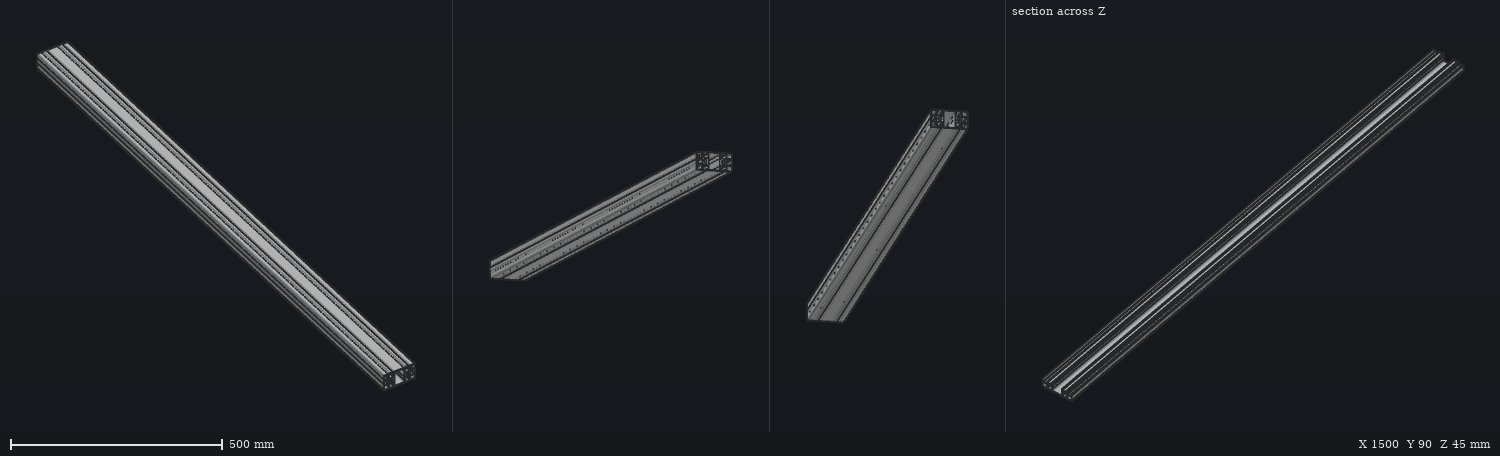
import cadquery as cq

LENGTH = 1500.0
MODULE = 45.0
WIDTH = 2 * MODULE
HEIGHT = MODULE
CORNER_RADIUS = 2.5

WALL = 2.0
RIB = 2.0

SLOT_SKIN = 0.3
SLOT_MOUTH_WIDTH = 9.0
SLOT_INNER_WIDTH = 14.0
SLOT_FLOOR_WIDTH = 10.0
SLOT_DEPTH = 15.0
SLOT_TAPER_HEIGHT = 2.0
SLOT_ROOF_RADIUS = 2.0
LIP_THICKNESS = 5.0

CHAMBER_RADIUS = 1.0
HOLLOW_RADIUS = 1.0
BORE_DIAMETER = 8.0

HALF_MODULE = MODULE / 2
HOLLOW_NEAR = SLOT_INNER_WIDTH / 2 + RIB
HOLLOW_FAR = HALF_MODULE - WALL


def section(y=0.0, z=0.0):
    """Section plane across the extrusion, with its origin at (y, z)."""
    return cq.Workplane("YZ").center(y, z)


def prism(outline):
    """Extrude a closed section outline over the full length."""
    return outline.extrude(LENGTH / 2, both=True)


def t_slot():
    """T-slot under the +Z face of a module centred on the origin."""
    mouth = SLOT_MOUTH_WIDTH / 2
    inner = SLOT_INNER_WIDTH / 2
    floor = SLOT_FLOOR_WIDTH / 2
    roof_z = HALF_MODULE - SLOT_SKIN
    lip_z = HALF_MODULE - LIP_THICKNESS
    floor_z = HALF_MODULE - SLOT_DEPTH
    taper_z = floor_z + SLOT_TAPER_HEIGHT
    right_side = [(mouth, lip_z), (inner, lip_z), (inner, taper_z), (floor, floor_z)]
    left_side = [(-y, z) for y, z in reversed(right_side)]
    undercut = prism(section().polyline(right_side + left_side).close())
    mouth_height = roof_z - lip_z
    mouth_box = prism(section(0, lip_z + mouth_height / 2).rect(SLOT_MOUTH_WIDTH, mouth_height))
    return undercut.union(mouth_box.faces(">Z").edges("|X").fillet(SLOT_ROOF_RADIUS))


def rounded_hollow(y, z, width, height, radius):
    """Rectangular hollow with rounded corners, centred at (y, z)."""
    return prism(section(y, z).rect(width, height)).edges("|X").fillet(radius)


result = cq.Workplane("XY").box(LENGTH, WIDTH, HEIGHT).edges("|X").fillet(CORNER_RADIUS)

chamber_width = 2 * (HALF_MODULE - HOLLOW_NEAR)
chamber_height = 2 * HOLLOW_FAR
result = result.cut(rounded_hollow(0, 0, chamber_width, chamber_height, CHAMBER_RADIUS))

hollow_size = HOLLOW_FAR - HOLLOW_NEAR
hollow_middle = (HOLLOW_FAR + HOLLOW_NEAR) / 2
slot = t_slot()

for side in (-1, 1):
    core_y = side * HALF_MODULE

    for turn in (0, 180, -90 * side):
        result = result.cut(slot.rotate((0, 0, 0), (1, 0, 0), turn).translate((0, core_y, 0)))

    hollow_y = core_y + side * hollow_middle
    for level in (-1, 1):
        hollow_z = level * hollow_middle
        result = result.cut(rounded_hollow(hollow_y, hollow_z, hollow_size, hollow_size, HOLLOW_RADIUS))

    result = result.cut(prism(section(core_y, 0).circle(BORE_DIAMETER / 2)))